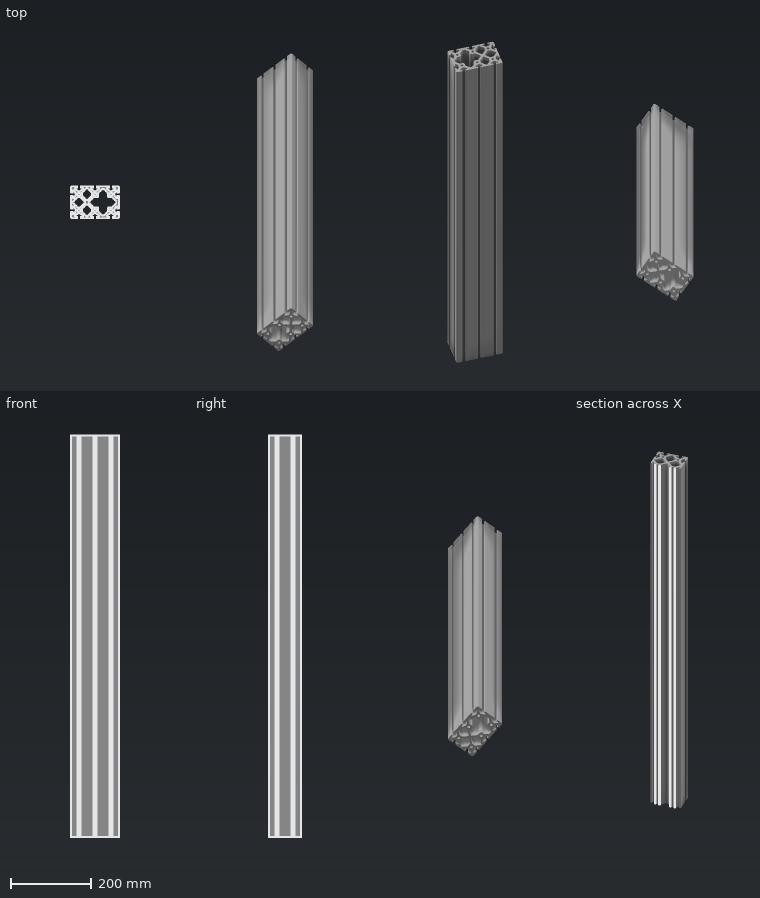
import cadquery as cq

cell = 40.0
columns = 3
rows = 2
length = 1000.0
width = columns * cell
depth = rows * cell
corner_radius = 4.0

slot_opening = 8.0
lip_thickness = 4.5
lip_edge_radius = 1.5
slot_inner_width = 19.0
slot_shoulder_depth = 7.0
slot_floor_width = 4.0
slot_depth = 12.0

bore_diameter = 6.8
block_half_width = 8.0

chamber_half_width = cell / 2 - block_half_width
small_chamber_wall = 5.0
small_tip_half = 1.0
small_tip_reach = cell / 2 - small_chamber_wall
large_chamber_wall = 7.5
large_tip_half = 2.5
large_tip_reach = cell - large_chamber_wall
crossing_clearance = 5.0
crossing_tip_reach = cell - crossing_clearance
block_corner_radius = 4.0

edge_box = 1.0

channel_xs = [-cell, 0.0, cell]
channel_ys = [-cell / 2, cell / 2]
crossing_x = -cell / 2
large_chamber_x = cell / 2


def prism(points):
    """Full-length prism with the given XY outline."""
    return cq.Workplane("XY").polyline(points).close().extrude(length)


def slot(angle, face_distance, offset):
    """T-slot in the -Y face, shifted sideways, then turned about Z onto its own face."""
    half_opening = slot_opening / 2
    half_inner = slot_inner_width / 2
    half_floor = slot_floor_width / 2
    right_side = [
        (half_opening, 0),
        (half_opening, lip_thickness),
        (half_inner, lip_thickness),
        (half_inner, slot_shoulder_depth),
        (half_floor, slot_depth),
    ]
    left_side = [(-x, y) for x, y in reversed(right_side)]
    outline = [(x + offset, y - face_distance) for x, y in right_side + left_side]
    return prism(outline).rotate((0, 0, 0), (0, 0, 1), angle)


def arm(center, angle, tip_reach, tip_half):
    """Chamber arm from the center to a blunt 45-degree tip, pointing along +X before turning."""
    half = chamber_half_width
    shoulder = tip_reach - (half - tip_half)
    outline = [
        (0, -half),
        (shoulder, -half),
        (tip_reach, -tip_half),
        (tip_reach, tip_half),
        (shoulder, half),
        (0, half),
    ]
    return prism(outline).rotate((0, 0, 0), (0, 0, 1), angle).translate((*center, 0))


def small_chamber(center, angle):
    """Straight chamber with a blunt tip at both ends."""
    first_half = arm(center, angle, small_tip_reach, small_tip_half)
    return first_half.union(arm(center, angle + 180, small_tip_reach, small_tip_half))


def large_chamber():
    """Cross-shaped chamber whose -X arm reaches toward the crossed webs."""
    center = (large_chamber_x, 0)
    body = arm(center, 180, crossing_tip_reach, small_tip_half)
    for angle in (-90, 0, 90):
        body = body.union(arm(center, angle, large_tip_reach, large_tip_half))
    return body


def round_edges(body, points, radius):
    """Fillet the lengthwise edges that stand on the given XY points."""
    edges = body.edges("|Z")
    picked = []
    half = edge_box / 2
    for x, y in points:
        box = cq.selectors.BoxSelector((x - half, y - half, 0), (x + half, y + half, length))
        picked += edges.edges(box).vals()
    return body.newObject(picked).fillet(radius)


result = cq.Workplane("XY").rect(width, depth).extrude(length)
result = result.edges("|Z").fillet(corner_radius)

for x in channel_xs:
    for angle in (0, 180):
        result = result.cut(slot(angle, depth / 2, x))
for y in channel_ys:
    for angle in (-90, 90):
        result = result.cut(slot(angle, width / 2, y))

result = result.cut(small_chamber((-cell, 0), 0))
for y in channel_ys:
    result = result.cut(small_chamber((crossing_x, y), 90))
result = result.cut(large_chamber())

lip_edges = []
block_corners = []
for side in (-1, 1):
    for face in (-1, 1):
        lip_edges += [(x + side * slot_opening / 2, face * depth / 2) for x in channel_xs]
        lip_edges += [(face * width / 2, y + side * slot_opening / 2) for y in channel_ys]
        block_corners.append((large_chamber_x + side * chamber_half_width, face * chamber_half_width))
result = round_edges(result, lip_edges, lip_edge_radius)
result = round_edges(result, block_corners, block_corner_radius)

channel_centers = [(x, y) for x in channel_xs for y in channel_ys]
bores = cq.Workplane("XY").pushPoints(channel_centers).circle(bore_diameter / 2).extrude(length)
result = result.cut(bores)